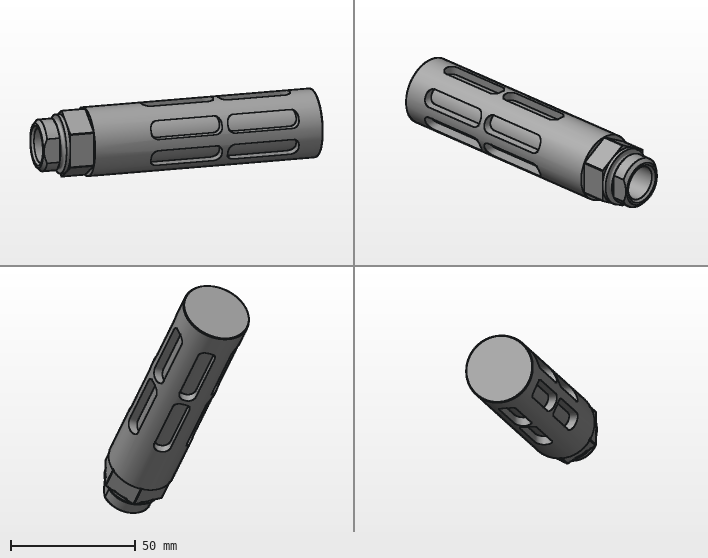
import cadquery as cq

LENGTH = 116.5
TIP_Y = -LENGTH / 2
REAR_Y = LENGTH / 2

BODY_DIAMETER = 28.0
BODY_FRONT = 20.4
REAR_CHAMFER = 0.3

HEX_ACROSS_FLATS = 24.0
HEX_CORNER_DIAMETER = 27.5
HEX_FRONT = 10.5
COLLAR_DIAMETER = HEX_ACROSS_FLATS
COLLAR_FRONT = 8.9

THREAD_DIAMETER = 21.1
THREAD_LENGTH = 6.9
THREAD_CHAMFER = 1.5
THREAD_ACROSS_FLATS = 18.5
UNDERCUT_DIAMETER = 18.9

BORE_DIAMETER = 14.1
BORE_DEPTH = BODY_FRONT
BORE_FLOOR_FILLET = 1.9
BORE_MOUTH_CHAMFER = 1.0

SLOT_LENGTH = 29.9
SLOT_WIDTH = 7.0
SLOT_CORNER_RADIUS = 3.0
SLOT_FLOOR_DIAMETER = 21.1
SLOT_GAP = 2.5
SLOT_REAR_MARGIN = 9.9
SIDE_SLOT_HEIGHT = 5.8


def cylinder(diameter, start, end):
    """Solid cylinder on the Y axis; start and end are distances from the tip."""
    plane = cq.Plane(origin=(0, TIP_Y + start, 0), xDir=(1, 0, 0), normal=(0, 1, 0))
    return cq.Workplane(plane).circle(diameter / 2).extrude(end - start)


def make_body():
    body = cylinder(BODY_DIAMETER, BODY_FRONT, LENGTH)
    return body.faces(">Y").chamfer(REAR_CHAMFER)


def make_hexagon():
    """Hexagon with corners at +Z and -Z and trimmed corner edges."""
    hexagon = cylinder(HEX_CORNER_DIAMETER, HEX_FRONT, BODY_FRONT)
    for turn in range(3):
        slab = cq.Workplane("XY").box(HEX_ACROSS_FLATS, 2 * LENGTH, 2 * BODY_DIAMETER)
        hexagon = hexagon.intersect(slab.rotate((0, 0, 0), (0, 1, 0), 60 * turn))
    return hexagon


def make_threaded_end():
    thread = cylinder(THREAD_DIAMETER, 0, THREAD_LENGTH).faces("<Y").chamfer(THREAD_CHAMFER)
    flats = cq.Workplane("XY").box(THREAD_ACROSS_FLATS, 2 * LENGTH, BODY_DIAMETER)
    return thread.intersect(flats)


def make_undercut():
    """Neck between thread and collar, hollowed by a half-round groove."""
    front = TIP_Y + THREAD_LENGTH
    back = TIP_Y + COLLAR_FRONT
    rim_radius = UNDERCUT_DIAMETER / 2 + (back - front) / 2
    return (
        cq.Workplane("XY")
        .moveTo(0, front)
        .lineTo(rim_radius, front)
        .threePointArc(
            (UNDERCUT_DIAMETER / 2, (front + back) / 2),
            (rim_radius, back),
        )
        .lineTo(0, back)
        .close()
        .revolve(360, (0, 0, 0), (0, 1, 0))
    )


def make_bore():
    bore = cylinder(BORE_DIAMETER, 0, BORE_DEPTH).faces(">Y").edges().fillet(BORE_FLOOR_FILLET)
    mouth = cq.Workplane("XY").add(
        cq.Solid.makeCone(
            BORE_DIAMETER / 2 + BORE_MOUTH_CHAMFER,
            BORE_DIAMETER / 2,
            BORE_MOUTH_CHAMFER,
            pnt=cq.Vector(0, TIP_Y, 0),
            dir=cq.Vector(0, 1, 0),
        )
    )
    return bore.union(mouth)


def slot_cutter(center_y):
    """Upright rounded block on the Z axis, reaching up out of the body."""
    block = cq.Workplane("XY").rect(SLOT_WIDTH, SLOT_LENGTH).extrude(BODY_DIAMETER)
    return block.edges("|Z").fillet(SLOT_CORNER_RADIUS).translate((0, center_y, 0))


def make_slots():
    """Six slots per row: one each at +Z and -Z, two each at +X and -X."""
    slots = cq.Workplane("XY")
    for row in range(2):
        rear_end = REAR_Y - SLOT_REAR_MARGIN - row * (SLOT_LENGTH + SLOT_GAP)
        upright = slot_cutter(rear_end - SLOT_LENGTH / 2)
        for side in (0, 180):
            slots = slots.add(upright.rotate((0, 0, 0), (0, 1, 0), side))
            sideways = upright.rotate((0, 0, 0), (0, 1, 0), 90 + side)
            for height in (SIDE_SLOT_HEIGHT, -SIDE_SLOT_HEIGHT):
                slots = slots.add(sideways.translate((0, 0, height)))
    core = cylinder(SLOT_FLOOR_DIAMETER, 0, LENGTH)
    return slots.combine().cut(core)


result = (
    make_body()
    .cut(make_slots())
    .union(make_hexagon())
    .union(cylinder(COLLAR_DIAMETER, COLLAR_FRONT, HEX_FRONT))
    .union(make_undercut())
    .union(make_threaded_end())
    .cut(make_bore())
)